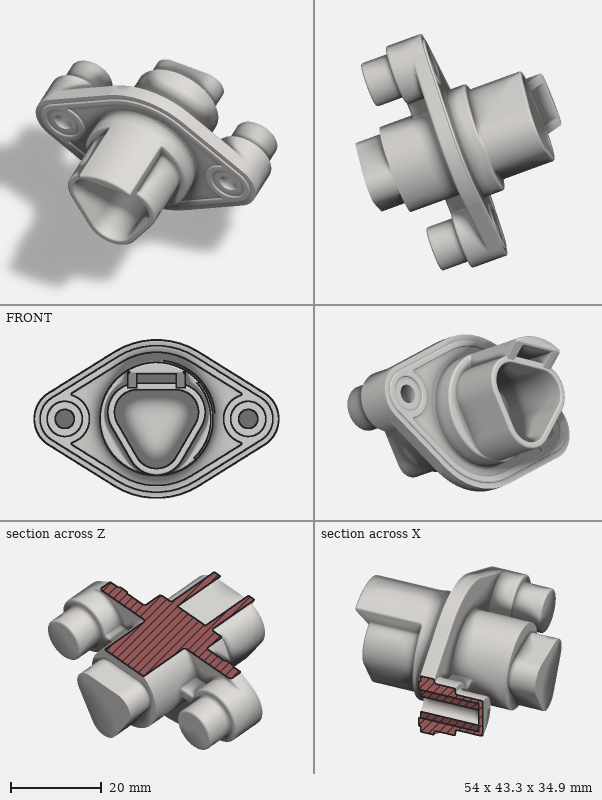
import cadquery as cq
import math

EDGE_RADIUS = 0.5
SMALL_RADIUS = 0.3

LENGTH = 54.0
HEIGHT = 34.95
EAR_RADIUS = 6.75
FLANGE_THICKNESS = 3.35
MIDDLE_RADIUS = HEIGHT / 2
EAR_X = LENGTH / 2 - EAR_RADIUS
EAR_CENTERS = (-EAR_X, EAR_X)

RIM_HEIGHT = 0.4
RIM_INSET = 1.3
RIM_WIDTH = 1.45
RIM_RING_RADIUS = EAR_RADIUS - RIM_INSET
RIM_CORNER_RADIUS = 0.25
RIM_ROUND = 0.3

BOSS_HEIGHT = 8.3
BARREL_RADIUS = 5.1
BARREL_END = 14.8
WEB_THICKNESS = 2.7

BUSHING_RADIUS = 3.9
BUSHING_HOLE_RADIUS = 2.1
BARREL_END_WALL = 1.1
BUSHING_LENGTH = BARREL_END - BARREL_END_WALL

FRONT_RADIUS = 12.5
FRONT_HEIGHT = 4.95
REAR_RADIUS = 10.0
REAR_END = 16.2

CORNER_X = 4.3
UPPER_CORNER_Z = 1.45
LOWER_CORNER_Z = -6.0
PLUG_CORNER_RADIUS = 3.95
PLUG_END = 22.5
SOCKET_CORNER_RADIUS = 6.4
SOCKET_HEIGHT = 17.45
CAVITY_CORNER_RADIUS = 4.95
CAVITY_FLOOR_Y = 0.0

TONGUE_WIDTH = 12.65
TONGUE_HEIGHT = 20.8
TONGUE_TIP_Z = 10.25
TONGUE_ROOT_Z = 5.4
SLOT_WIDTH = 2 * CORNER_X
SLOT_TOP_Z = 9.95

SELECT_MARGIN = 0.05


def section(y):
    """Workplane at height y whose extrusions run toward -Y."""
    return cq.Workplane("XZ", origin=(0, y, 0))


def cylinder(radius, y_front, y_rear, x=0.0):
    return section(y_rear).center(x, 0).circle(radius).extrude(y_rear - y_front)


def block(x_range, y_range, z_range):
    low, high = zip(x_range, y_range, z_range)
    size = [b - a for a, b in zip(low, high)]
    return cq.Workplane("XY").box(*size, centered=False).translate(low)


def flange_prism(inset, y_front, y_rear):
    """Ear circles and a middle circle joined by tangent lines, offset inward by inset."""
    middle = MIDDLE_RADIUS - inset
    ear = EAR_RADIUS - inset
    sine = (middle - ear) / EAR_X
    cosine = math.sqrt(1 - sine**2)
    middle_x, middle_z = middle * sine, middle * cosine
    ear_x, ear_z = EAR_X + ear * sine, ear * cosine
    return (
        section(y_rear)
        .moveTo(-middle_x, middle_z)
        .threePointArc((0, middle), (middle_x, middle_z))
        .lineTo(ear_x, ear_z)
        .threePointArc((EAR_X + ear, 0), (ear_x, -ear_z))
        .lineTo(middle_x, -middle_z)
        .threePointArc((0, -middle), (-middle_x, -middle_z))
        .lineTo(-ear_x, -ear_z)
        .threePointArc((-EAR_X - ear, 0), (-ear_x, ear_z))
        .close()
        .extrude(y_rear - y_front)
    )


def triangle_prism(radius, y_front, y_rear):
    """Three equal corner circles joined by tangent lines, flat side up."""
    rise = UPPER_CORNER_Z - LOWER_CORNER_Z
    side = math.hypot(CORNER_X, rise)
    normal_x, normal_z = radius * rise / side, -radius * CORNER_X / side
    top_z = UPPER_CORNER_Z + radius
    bulge = math.radians(45) + math.atan2(normal_z, normal_x) / 2
    bulge_x = CORNER_X + radius * math.cos(bulge)
    bulge_z = UPPER_CORNER_Z + radius * math.sin(bulge)
    upper_x, upper_z = CORNER_X + normal_x, UPPER_CORNER_Z + normal_z
    lower_z = LOWER_CORNER_Z + normal_z
    return (
        section(y_rear)
        .moveTo(-CORNER_X, top_z)
        .lineTo(CORNER_X, top_z)
        .threePointArc((bulge_x, bulge_z), (upper_x, upper_z))
        .lineTo(normal_x, lower_z)
        .threePointArc((0, LOWER_CORNER_Z - radius), (-normal_x, lower_z))
        .lineTo(-upper_x, upper_z)
        .threePointArc((-bulge_x, bulge_z), (-CORNER_X, top_z))
        .close()
        .extrude(y_rear - y_front)
    )


def edges_near_y(y, reach):
    """Picks edges centred at height y and within reach of the Y axis in X and Z."""
    return cq.selectors.BoxSelector(
        (-reach, y - SELECT_MARGIN, -reach), (reach, y + SELECT_MARGIN, reach)
    )


def root_collar(radius, y, direction, x=0.0):
    """Concave ring that blends a cylinder into the face at y; direction is its growth along Y."""
    reach = radius + EDGE_RADIUS
    middle = EDGE_RADIUS * (1 - math.sqrt(0.5))
    return (
        cq.Workplane("XY")
        .moveTo(0, y)
        .lineTo(reach, y)
        .threePointArc((radius + middle, y + direction * middle), (radius, y + direction * EDGE_RADIUS))
        .lineTo(0, y + direction * EDGE_RADIUS)
        .close()
        .revolve(360, (0, 0, 0), (0, 1, 0))
        .translate((x, 0, 0))
    )


def make_flange():
    return flange_prism(0, 0, FLANGE_THICKNESS).faces(">Y").edges().fillet(EDGE_RADIUS)


def make_rim():
    """Rim around the flange face that also rings both bushings."""
    rim = flange_prism(RIM_INSET, -RIM_HEIGHT, 0)
    pocket = flange_prism(RIM_INSET + RIM_WIDTH, -RIM_HEIGHT, 0)
    for x in EAR_CENTERS:
        pocket = pocket.cut(cylinder(RIM_RING_RADIUS, -RIM_HEIGHT, 0, x))
    inner = block((-EAR_X, EAR_X), (-RIM_HEIGHT, 0), (-HEIGHT, HEIGHT))
    pocket = pocket.intersect(inner)
    ear_corners = cq.selectors.BoxSelector((-EAR_X, -0.55, -HEIGHT), (-EAR_X + RIM_RING_RADIUS, 0.55, HEIGHT))
    ear_corners += cq.selectors.BoxSelector((EAR_X - RIM_RING_RADIUS, -0.55, -HEIGHT), (EAR_X, 0.55, HEIGHT))
    pocket = pocket.edges("|Y").edges(ear_corners).fillet(RIM_CORNER_RADIUS)
    rim = rim.cut(pocket)
    for x in EAR_CENTERS:
        rim = rim.cut(cylinder(BUSHING_RADIUS, -RIM_HEIGHT, 0, x))
    return rim.faces("<Y").edges().fillet(RIM_ROUND)


def make_ear_bosses():
    """Both ear bosses joined by one long web, rounded where they meet and along the top."""
    half_web = WEB_THICKNESS / 2
    bosses = block((-EAR_X, EAR_X), (0, BOSS_HEIGHT), (-half_web, half_web))
    for x in EAR_CENTERS:
        bosses = bosses.union(cylinder(EAR_RADIUS, 0, BOSS_HEIGHT, x))
    boss_inner_x = EAR_X - EAR_RADIUS + EDGE_RADIUS
    bosses = bosses.edges("|Y").edges(web_corners(boss_inner_x)).fillet(EDGE_RADIUS)
    return bosses.faces(">Y").edges().fillet(EDGE_RADIUS)


def web_corners(reach):
    """Picks the edges along Y on the sides of the web within reach of its middle."""
    half_web = WEB_THICKNESS / 2
    return cq.selectors.BoxSelector(
        (-reach, SELECT_MARGIN, -half_web - SELECT_MARGIN),
        (reach, BOSS_HEIGHT - EDGE_RADIUS, half_web + SELECT_MARGIN),
    )


def make_rear_body():
    """Rear cylinder and plug between two ear bosses that carry barrels."""
    body = make_ear_bosses().union(cylinder(REAR_RADIUS, 0, REAR_END))
    body = body.edges("|Y").edges(web_corners(REAR_RADIUS)).fillet(EDGE_RADIUS)
    body = body.union(root_collar(REAR_RADIUS, FLANGE_THICKNESS, 1))
    flange_back = flange_prism(EDGE_RADIUS, 0, BOSS_HEIGHT)
    for x in EAR_CENTERS:
        barrel = cylinder(BARREL_RADIUS, 0, BARREL_END, x).faces(">Y").edges().fillet(EDGE_RADIUS)
        boss_root = root_collar(EAR_RADIUS, FLANGE_THICKNESS, 1, x).intersect(flange_back)
        body = body.union(barrel).union(root_collar(BARREL_RADIUS, BOSS_HEIGHT, 1, x)).union(boss_root)
    return body.union(triangle_prism(PLUG_CORNER_RADIUS, REAR_END, PLUG_END))


def make_tongue():
    """Block standing on the socket, cut away at 45 degrees under its tip."""
    half = TONGUE_WIDTH / 2
    tongue = block((-half, half), (-TONGUE_HEIGHT, 0), (TONGUE_ROOT_Z, 2 * FRONT_RADIUS))
    drop = TONGUE_TIP_Z - TONGUE_ROOT_Z
    undercut = (
        cq.Workplane("YZ")
        .polyline([
            (-TONGUE_HEIGHT, TONGUE_TIP_Z),
            (-TONGUE_HEIGHT + drop, TONGUE_ROOT_Z),
            (-TONGUE_HEIGHT, TONGUE_ROOT_Z),
        ])
        .close()
        .extrude(half, both=True)
    )
    return tongue.cut(undercut)


def make_front_body():
    """Short front cylinder carrying the socket and the tongue.

    Both grow out of an oversize plate so that their roots can be rounded in one go;
    trimming to the front cylinder then gives the round outside.
    """
    mouth = -SOCKET_HEIGHT
    half = TONGUE_WIDTH / 2
    plate_half = 2 * FRONT_RADIUS
    plate_side = (-plate_half, plate_half)
    body = block(plate_side, (-FRONT_HEIGHT, 0), plate_side)
    body = body.union(make_tongue()).union(triangle_prism(SOCKET_CORNER_RADIUS, mouth, 0))

    tongue_corner_z = UPPER_CORNER_Z + SOCKET_CORNER_RADIUS / 2
    root_edges = edges_near_y(-FRONT_HEIGHT, plate_half - SELECT_MARGIN)
    tongue_root_edges = cq.selectors.BoxSelector(
        (-half - SELECT_MARGIN, mouth + SELECT_MARGIN, tongue_corner_z),
        (half + SELECT_MARGIN, -FRONT_HEIGHT - SELECT_MARGIN, FRONT_RADIUS),
    )
    body = body.edges(root_edges + tongue_root_edges).fillet(EDGE_RADIUS)
    body = body.intersect(cylinder(FRONT_RADIUS, -TONGUE_HEIGHT, 0))

    rim_edges = cq.selectors.BoxSelector(
        (-FRONT_RADIUS, mouth - SELECT_MARGIN, -FRONT_RADIUS),
        (FRONT_RADIUS, mouth + SELECT_MARGIN, tongue_corner_z),
    )
    body = body.edges(rim_edges).fillet(EDGE_RADIUS)

    shoulder_arcs = body.edges(edges_near_y(-FRONT_HEIGHT, FRONT_RADIUS)).edges("%CIRCLE")
    body = shoulder_arcs.edges(cq.selectors.RadiusNthSelector(-1)).fillet(EDGE_RADIUS)

    front_edges = cq.selectors.BoxSelector(
        (-FRONT_RADIUS, -TONGUE_HEIGHT - SELECT_MARGIN, 0),
        (FRONT_RADIUS, -TONGUE_HEIGHT + SELECT_MARGIN, FRONT_RADIUS),
    )
    long_edge_z = math.sqrt(FRONT_RADIUS**2 - half**2)
    long_edges = cq.selectors.BoxSelector(
        (-FRONT_RADIUS, mouth, long_edge_z - SELECT_MARGIN),
        (FRONT_RADIUS, -FRONT_HEIGHT - EDGE_RADIUS, long_edge_z + SELECT_MARGIN),
    )
    body = body.edges(front_edges + long_edges).fillet(EDGE_RADIUS)
    return body.union(root_collar(FRONT_RADIUS, 0, -1))


def cut_socket(body):
    """Hollow the socket and open the slot between it and the tongue."""
    mouth = -SOCKET_HEIGHT
    body = body.cut(triangle_prism(CAVITY_CORNER_RADIUS, -TONGUE_HEIGHT, CAVITY_FLOOR_Y))
    around = CAVITY_CORNER_RADIUS + SELECT_MARGIN
    mouth_edges = cq.selectors.BoxSelector(
        (-CORNER_X - around, mouth - SELECT_MARGIN, LOWER_CORNER_Z - around),
        (CORNER_X + around, mouth + SELECT_MARGIN, UPPER_CORNER_Z + around),
        boundingbox=True,
    )
    body = body.edges(mouth_edges).fillet(SMALL_RADIUS)
    slot_x = (-SLOT_WIDTH / 2, SLOT_WIDTH / 2)
    socket_top = UPPER_CORNER_Z + SOCKET_CORNER_RADIUS
    body = body.cut(block(slot_x, (mouth, -FRONT_HEIGHT), (socket_top, SLOT_TOP_Z)))
    return body.cut(block(slot_x, (-TONGUE_HEIGHT, mouth), (0, SLOT_TOP_Z)))


def make_housing():
    body = make_flange().union(make_front_body())
    body = cut_socket(body).union(make_rim())
    body = body.union(make_rear_body(), clean=False)
    for x in EAR_CENTERS:
        body = body.cut(cylinder(BUSHING_RADIUS, 0, BUSHING_LENGTH, x), clean=False)
    return body


def make_bushing(x):
    """Plain sleeve, flush with the flange face, closed behind by the barrel's end wall."""
    sleeve = cylinder(BUSHING_RADIUS, 0, BUSHING_LENGTH, x)
    return sleeve.cut(cylinder(BUSHING_HOLE_RADIUS, 0, BUSHING_LENGTH, x))


housing = make_housing()
bushings = [make_bushing(x) for x in EAR_CENTERS]
result = cq.Compound.makeCompound([housing.val(), *[bushing.val() for bushing in bushings]])